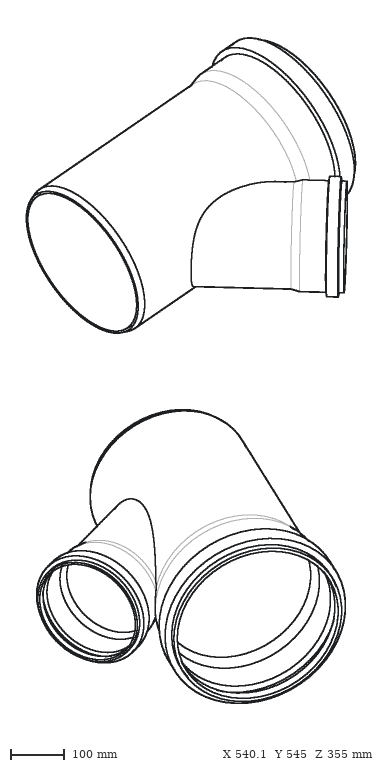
import cadquery as cq

main_length = 545.0
main_outer_d = 315.5
main_bore_d = 298.0
main_socket = dict(outer_d=329.5, bore_d=316.0, ring_d=355.0, groove_d=341.0,
                   lip=13.0, ring_width=40.0, depth=114.0, taper=25.5)
spigot_chamfer_length = 12.5
spigot_chamfer_depth = 4.5

ring_side_slope = 1.5

branch_angle = 45.0
branch_origin_y = 115.0
branch_length = 408.0
branch_outer_d = 200.5
branch_bore_d = 189.0
branch_socket = dict(outer_d=209.5, bore_d=201.0, ring_d=225.5, groove_d=217.0,
                     lip=9.0, ring_width=24.5, depth=83.0, taper=16.5)


def stepped_body(length, pipe_d, socket_d, ring_d, socket, wall=0.0):
    """Solid of revolution about +Y: pipe, taper, socket, ring and lip.

    The wall insets the faces of the ring, so the same outline serves as the cavity.
    """
    pipe_r = pipe_d / 2
    socket_r = socket_d / 2
    ring_r = ring_d / 2
    ring_top = length - socket["lip"] - wall
    ring_bottom = length - socket["lip"] - socket["ring_width"] + wall
    taper_top = length - socket["depth"]
    taper_bottom = taper_top - socket["taper"]
    outline = [
        (0, 0),
        (pipe_r, 0),
        (pipe_r, taper_bottom),
        (socket_r, taper_top),
        (socket_r, ring_bottom),
        (ring_r, ring_bottom + ring_side_slope),
        (ring_r, ring_top - ring_side_slope),
        (socket_r, ring_top),
        (socket_r, length),
        (0, length),
    ]
    return cq.Workplane("XY").polyline(outline).close().revolve(360, (0, 0, 0), (0, 1, 0))


def pipe_body(length, pipe_d, socket):
    return stepped_body(length, pipe_d, socket["outer_d"], socket["ring_d"], socket)


def pipe_cavity(length, bore_d, socket):
    wall = (socket["ring_d"] - socket["groove_d"]) / 2
    return stepped_body(length, bore_d, socket["bore_d"], socket["groove_d"], socket, wall)


def spigot_chamfer():
    """Ring of material removed to bevel the outside of the spigot end."""
    outer_r = main_outer_d / 2
    outline = [
        (outer_r - spigot_chamfer_depth, 0),
        (outer_r, 0),
        (outer_r, spigot_chamfer_length),
    ]
    return cq.Workplane("XY").polyline(outline).close().revolve(360, (0, 0, 0), (0, 1, 0))


def place_branch(body):
    """Tilt a body from the main axis towards +X and move it to the branch origin."""
    return body.rotate((0, 0, 0), (0, 0, 1), -branch_angle).translate((0, branch_origin_y, 0))


main_body = pipe_body(main_length, main_outer_d, main_socket).cut(spigot_chamfer())
main_cavity = pipe_cavity(main_length, main_bore_d, main_socket)

branch_body = place_branch(pipe_body(branch_length, branch_outer_d, branch_socket))
branch_cavity = place_branch(pipe_cavity(branch_length, branch_bore_d, branch_socket))

result = main_body.union(branch_body).cut(main_cavity).cut(branch_cavity)